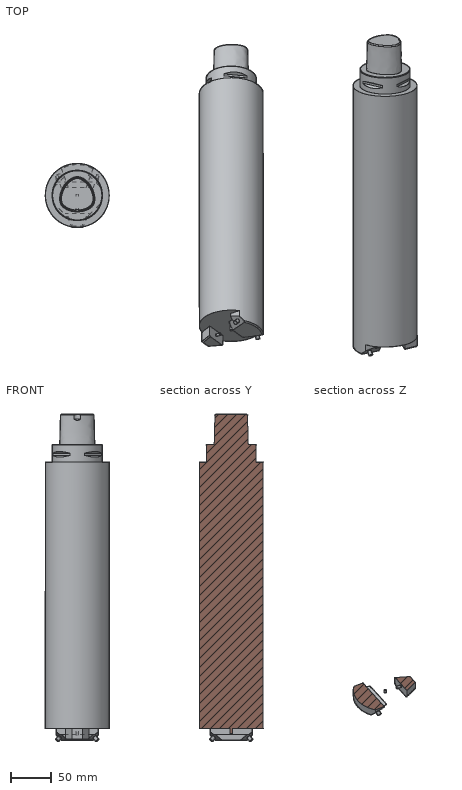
import cadquery as cq
import math

BODY_DIAMETER = 80.0
BODY_LENGTH = 333.0
BODY_RADIUS = BODY_DIAMETER / 2

FLANGE_DIAMETER = 63.0
FLANGE_LENGTH = 22.0
FLANGE_CHAMFER = 0.8
FLANGE_TOP = BODY_LENGTH + FLANGE_LENGTH
SLOT_DROP = 12.3
SLOT_FLOOR_DISTANCE = 27.8
SLOT_FLOOR_HEIGHT = 2.6
SLOT_MOUTH_HEIGHT = 7.0
SLOT_COUNT = 4
SLOT_START_ANGLE = 45.0

SHANK_WIDTH = 44.0
SHANK_LENGTH = 38.0
SHANK_TAPER = 1 / 20
SHANK_LOBE = 2.8
SHANK_CHAMFER = 1.4
SHANK_POINTS = 48
SHANK_TOP = FLANGE_TOP + SHANK_LENGTH

NOTCH_DIAMETER = 10.0
NOTCH_HEIGHT = 6.5
NOTCH_DEPTH = 2.2
NOTCH_POINT_ANGLE = 120.0

BLOCK_HEIGHT = 14.6
BLOCK_CHAMFER = 1.5

WEDGE_OUTER_HALF_WIDTH = 6.8
WEDGE_INNER_HALF_WIDTH = 14.8
WEDGE_INNER_Y = -22.5

REAR_HALF_WIDTH = 26.4
REAR_INNER_Y = 9.9
REAR_UPPER_Y = 16.7
REAR_STEP_DEPTH = 7.0

NOZZLE_BASE = cq.Vector(-21.5, 24.5, -10.3)
FACET_NORMAL = cq.Vector(-0.86, -0.31, -1.0).normalized()
NOZZLE_DIAMETER = 5.0
NOZZLE_LOWEST = 16.19
FACET_CUT_SIZE = 2 * BODY_DIAMETER

PIN_DIAMETER = 3.3
AXIS_PIN_LENGTH = 6.3
SIDE_PIN_TIP_Y = -16.6
SIDE_PIN_DROP = 6.5

OVERLAP = 1.0


def shank_section(width, z):
    """Closed three-lobed curve of constant width."""
    radius = width / 2
    shift = SHANK_LOBE / 2
    points = []
    for i in range(SHANK_POINTS):
        angle = 2 * math.pi * i / SHANK_POINTS
        support = radius - shift * math.sin(3 * angle)
        slope = -3 * shift * math.cos(3 * angle)
        x = support * math.cos(angle) - slope * math.sin(angle)
        y = support * math.sin(angle) + slope * math.cos(angle)
        points.append((x, y))
    curve = cq.Workplane("XY").workplane(offset=z).spline(points, periodic=True).close()
    return curve.val()


def loft_sections(lower, upper):
    return cq.Workplane(cq.Solid.makeLoft([lower, upper], True))


def make_shank():
    top_width = SHANK_WIDTH - SHANK_TAPER * SHANK_LENGTH
    chamfer_z = SHANK_TOP - SHANK_CHAMFER
    edge_width = top_width + SHANK_TAPER * SHANK_CHAMFER
    tip_width = edge_width - 2 * SHANK_CHAMFER
    edge = shank_section(edge_width, chamfer_z)
    main = loft_sections(shank_section(SHANK_WIDTH, FLANGE_TOP), edge)
    tip = loft_sections(edge, shank_section(tip_width, SHANK_TOP))
    flat_y = -(top_width - SHANK_LOBE) / 2
    radius = NOTCH_DIAMETER / 2
    point_length = radius / math.tan(math.radians(NOTCH_POINT_ANGLE / 2))
    notch = (
        cq.Workplane("XZ", origin=(0, flat_y + NOTCH_DEPTH - radius, SHANK_TOP))
        .lineTo(radius, 0)
        .lineTo(radius, -NOTCH_HEIGHT)
        .lineTo(0, -NOTCH_HEIGHT - point_length)
        .close()
        .revolve(360, (0, 0, 0), (0, 1, 0))
    )
    return main.union(tip).cut(notch)


def make_flange():
    flange = (
        cq.Workplane("XY", origin=(0, 0, BODY_LENGTH))
        .circle(FLANGE_DIAMETER / 2)
        .extrude(FLANGE_LENGTH)
        .faces(">Z")
        .chamfer(FLANGE_CHAMFER)
    )
    mouth_x = FLANGE_DIAMETER / 2
    slot = (
        cq.Workplane("XZ", origin=(0, 0, FLANGE_TOP - SLOT_DROP))
        .moveTo(SLOT_FLOOR_DISTANCE, -SLOT_FLOOR_HEIGHT / 2)
        .lineTo(mouth_x, -SLOT_MOUTH_HEIGHT / 2)
        .lineTo(mouth_x, SLOT_MOUTH_HEIGHT / 2)
        .lineTo(SLOT_FLOOR_DISTANCE, SLOT_FLOOR_HEIGHT / 2)
        .close()
        .extrude(FLANGE_DIAMETER / 2, both=True)
    )
    for i in range(SLOT_COUNT):
        angle = SLOT_START_ANGLE + i * 360 / SLOT_COUNT
        flange = flange.cut(slot.rotate((0, 0, 0), (0, 0, 1), angle))
    return flange


def make_wedge_block():
    outer_y = -BODY_RADIUS
    block = (
        cq.Workplane("XY")
        .moveTo(-WEDGE_OUTER_HALF_WIDTH, outer_y)
        .lineTo(WEDGE_OUTER_HALF_WIDTH, outer_y)
        .lineTo(WEDGE_INNER_HALF_WIDTH, WEDGE_INNER_Y)
        .lineTo(-WEDGE_INNER_HALF_WIDTH, WEDGE_INNER_Y)
        .close()
        .extrude(-BLOCK_HEIGHT)
        .faces("<Z")
        .edges("not >Y")
        .chamfer(BLOCK_CHAMFER)
    )
    pin = (
        cq.Workplane("XZ", origin=(0, SIDE_PIN_TIP_Y, -SIDE_PIN_DROP))
        .circle(PIN_DIAMETER / 2)
        .extrude(SIDE_PIN_TIP_Y - WEDGE_INNER_Y + OVERLAP)
    )
    return block.union(pin)


def rear_slab(inner_y, top_z):
    """Part of the body circle beyond inner_y, limited to the rear block width."""
    width = 2 * REAR_HALF_WIDTH
    depth = BODY_RADIUS - inner_y
    height = BLOCK_HEIGHT + top_z
    slab = cq.Workplane("XY").box(width, depth, height, centered=(True, False, False))
    disc = cq.Workplane("XY").circle(BODY_RADIUS).extrude(BLOCK_HEIGHT)
    disc = disc.faces("<Z").chamfer(BLOCK_CHAMFER)
    return slab.translate((0, inner_y, 0)).intersect(disc).translate((0, 0, -BLOCK_HEIGHT))


def make_rear_block():
    block = rear_slab(REAR_UPPER_Y, 0).union(rear_slab(REAR_INNER_Y, -REAR_STEP_DEPTH))
    facet_plane = cq.Plane(origin=NOZZLE_BASE, xDir=(0, 1, 0), normal=FACET_NORMAL)
    facet_cut = cq.Workplane(facet_plane).rect(FACET_CUT_SIZE, FACET_CUT_SIZE).extrude(BODY_RADIUS)

    nozzle_radius = NOZZLE_DIAMETER / 2
    disc_drop = nozzle_radius * math.sqrt(1 - FACET_NORMAL.z**2)
    end_z = disc_drop - NOZZLE_LOWEST
    nozzle_length = (end_z - NOZZLE_BASE.z) / FACET_NORMAL.z
    nozzle = (
        cq.Workplane(facet_plane)
        .workplane(offset=-OVERLAP)
        .circle(nozzle_radius)
        .extrude(nozzle_length + OVERLAP)
    )
    block = block.cut(facet_cut).cut(facet_cut.mirror("YZ"))
    return block.union(nozzle).union(nozzle.mirror("YZ"))


body = cq.Workplane("XY").circle(BODY_RADIUS).extrude(BODY_LENGTH)
axis_pin = cq.Workplane("XY").circle(PIN_DIAMETER / 2).extrude(-AXIS_PIN_LENGTH)
result = (
    body.union(make_flange())
    .union(make_shank())
    .union(make_wedge_block())
    .union(make_rear_block())
    .union(axis_pin)
)